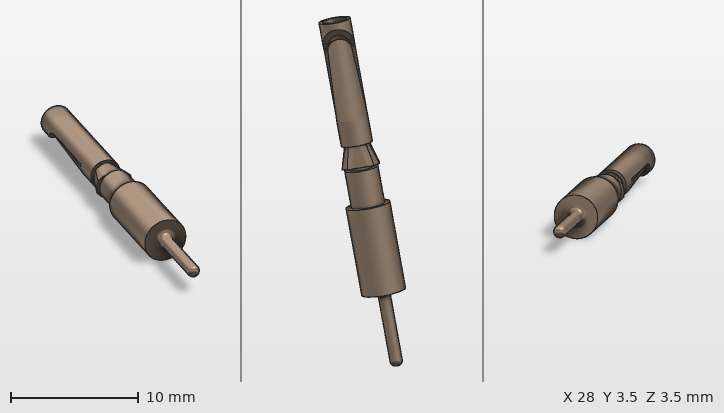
import cadquery as cq

TOTAL_LENGTH = 28.0
SLEEVE_END = 9.97
LUG_END = 11.75
COLLAR_START = 11.98
BODY_START = 14.95
BODY_END = 21.98

SLEEVE_RADIUS = 1.245
NECK_RADIUS = 0.91
COLLAR_RADIUS = 1.33
BODY_RADIUS = 1.75
PIN_RADIUS = 0.49
PIN_ROOT_FILLET = 0.48
PIN_TIP_FILLET = 0.42

BORE_RADIUS = 0.78
MOUTH_RADIUS = 0.98
MOUTH_DEPTH = 0.55
BORE_DEPTH = 7.98
BORE_TIP_LENGTH = 0.48

TONGUE_ROOT = 7.92
SLOT_TOP = 0.2
TONGUE_TOP = -0.03
WINDOW_BOTTOM_START = 0.53
WINDOW_SLOPE_END = (1.62, -0.28)
WINDOW_CURVE_MIDDLE = (2.02, 0.08)
WINDOW_CURVE_END = 2.52
TONGUE_TIP = 1.37
TONGUE_TIP_BOTTOM = -0.9
TONGUE_TOP_START = 2.27
TONGUE_TIP_RADIUS = 0.9
TONGUE_TIP_BORE = 0.55
CUT_MARGIN = 0.28

LUG_HALF_START = [
    (0.25, -0.95), (0.7, -0.73), (0.92, -0.48), (0.98, 0.17),
    (0.85, 0.55), (0.7, 0.73), (0.25, 0.98), (0, 1.05),
]
LUG_HALF_END = [
    (0.53, -0.95), (1.05, -0.9), (1.48, -0.48), (1.48, 0.1),
    (1.37, 0.55), (0.95, 0.9), (0.53, 0.98), (0, 1.05),
]


def cylinder(start, end, radius):
    """Solid cylinder along X."""
    return cq.Workplane("YZ", origin=(start, 0, 0)).circle(radius).extrude(end - start)


def revolve_about_x(profile):
    """Turn a closed (X, radius) outline about the contact axis."""
    return profile.close().revolve(360, (0, 0, 0), (1, 0, 0))


def make_socket_bore():
    return revolve_about_x(
        cq.Workplane("XY")
        .lineTo(0, MOUTH_RADIUS)
        .lineTo(MOUTH_DEPTH, BORE_RADIUS)
        .lineTo(BORE_DEPTH, BORE_RADIUS)
        .lineTo(BORE_DEPTH + BORE_TIP_LENGTH, 0)
    )


def make_window():
    """Side opening that frees the lower half of the sleeve, with a curved front edge."""
    floor = -SLEEVE_RADIUS
    return (
        cq.Workplane("XZ")
        .moveTo(WINDOW_BOTTOM_START, floor)
        .lineTo(*WINDOW_SLOPE_END)
        .threePointArc(WINDOW_CURVE_MIDDLE, (WINDOW_CURVE_END, SLOT_TOP))
        .lineTo(TONGUE_ROOT, SLOT_TOP)
        .lineTo(TONGUE_ROOT, floor)
        .close()
        .extrude(SLEEVE_RADIUS + CUT_MARGIN, both=True)
    )


def make_tongue():
    """Tapered half shell, pinched toward its free end and cut off at a slant."""
    shell = revolve_about_x(
        cq.Workplane("XY")
        .moveTo(TONGUE_TIP, TONGUE_TIP_BORE)
        .lineTo(TONGUE_TIP, TONGUE_TIP_RADIUS)
        .lineTo(TONGUE_ROOT, SLEEVE_RADIUS)
        .lineTo(TONGUE_ROOT, BORE_RADIUS)
    )
    side_outline = (
        cq.Workplane("XZ")
        .moveTo(TONGUE_TIP, TONGUE_TIP_BOTTOM)
        .lineTo(TONGUE_TOP_START, TONGUE_TOP)
        .lineTo(TONGUE_ROOT, TONGUE_TOP)
        .lineTo(TONGUE_ROOT, -SLEEVE_RADIUS - CUT_MARGIN)
        .lineTo(TONGUE_TIP, -SLEEVE_RADIUS - CUT_MARGIN)
        .close()
        .extrude(SLEEVE_RADIUS + CUT_MARGIN, both=True)
    )
    return shell.intersect(side_outline)


def mirrored_outline(half):
    """Complete a +Y half outline, whose last point lies on the Z axis."""
    return half + [(-y, z) for y, z in reversed(half[:-1])]


def make_lugs():
    """Faceted retention section that widens sideways and keeps its height."""
    return (
        cq.Workplane("YZ", origin=(SLEEVE_END, 0, 0))
        .polyline(mirrored_outline(LUG_HALF_START))
        .close()
        .workplane(offset=LUG_END - SLEEVE_END)
        .polyline(mirrored_outline(LUG_HALF_END))
        .close()
        .loft(ruled=True)
    )


def make_pin():
    pin = cylinder(BODY_END, TOTAL_LENGTH, PIN_RADIUS).faces(">X").edges().fillet(PIN_TIP_FILLET)
    root_radius = PIN_RADIUS + PIN_ROOT_FILLET
    root_end = BODY_END + PIN_ROOT_FILLET
    root = revolve_about_x(
        cq.Workplane("XY")
        .moveTo(BODY_END, 0)
        .lineTo(BODY_END, root_radius)
        .radiusArc((root_end, PIN_RADIUS), -PIN_ROOT_FILLET)
        .lineTo(root_end, 0)
    )
    return pin.union(root)


sleeve = cylinder(0, SLEEVE_END, SLEEVE_RADIUS).cut(make_socket_bore()).cut(make_window())
neck = cylinder(SLEEVE_END, COLLAR_START, NECK_RADIUS)
collar = cylinder(COLLAR_START, BODY_START, COLLAR_RADIUS)
body = cylinder(BODY_START, BODY_END, BODY_RADIUS)

result = (
    sleeve.union(make_tongue())
    .union(neck)
    .union(make_lugs())
    .union(collar)
    .union(body)
    .union(make_pin())
)